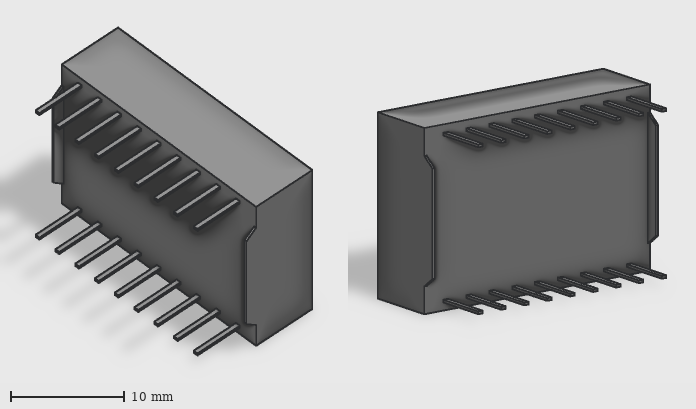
import cadquery as cq

body_width = 25.0
body_height = 17.02
overall_depth = 12.0
body_depth = 6.85
pin_length = overall_depth - body_depth

pin_rows = 2
pins_per_row = 9
pin_row_length = 20.32
pin_pitch = pin_row_length / (pins_per_row - 1)
pin_row_spacing = 15.25
pin_width = 0.5
pin_thickness = 0.25

tab_thickness = 0.25
tab_reach = 1.18
tab_root_height = 11.92
tab_tip_height = 10.1


def make_body():
    return cq.Workplane("XY").box(body_width, body_depth, body_height, centered=(True, False, True))


def make_pins():
    """Rectangular pins standing on the front face in two rows."""
    return (
        cq.Workplane("XZ")
        .rarray(pin_pitch, pin_row_spacing, pins_per_row, pin_rows)
        .rect(pin_width, pin_thickness)
        .extrude(pin_length)
    )


def make_tab(start_x):
    """Trapezoidal tab occupying one tab thickness in +X from start_x."""
    outline = [
        (0, -tab_root_height / 2),
        (-tab_reach, -tab_tip_height / 2),
        (-tab_reach, tab_tip_height / 2),
        (0, tab_root_height / 2),
    ]
    return cq.Workplane("YZ", origin=(start_x, 0, 0)).polyline(outline).close().extrude(tab_thickness)


result = make_body().union(make_pins())
for tab_start_x in (-body_width / 2, body_width / 2 - tab_thickness):
    result = result.union(make_tab(tab_start_x))